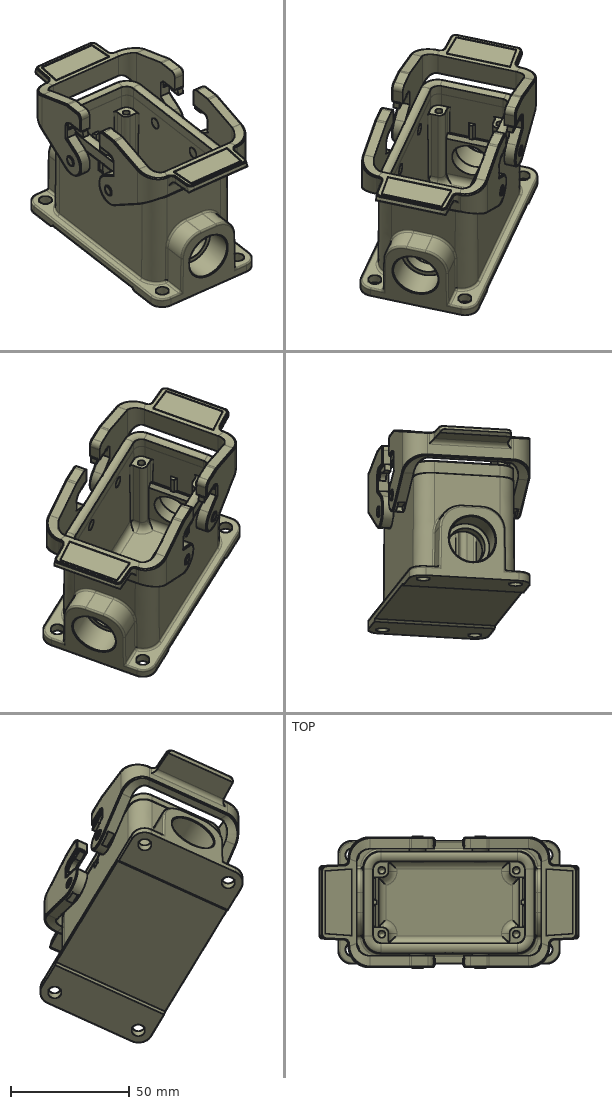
import cadquery as cq
import math

base_length = 94.0
base_width = 52.2
base_height = 4.2
base_corner_radius = 6.0
base_edge_fillet = 0.7
relief_half_length = 28.0
relief_height = 1.0

mount_hole_diameter = 5.6
mount_spacing_x = 82.0
mount_spacing_y = 40.0

wall_length = 72.8
wall_width = 43.4
wall_top = 48.3
wall_draft = 0.3
wall_corner_radius = 7.5
wall_foot_fillet = 1.0
rim_inset = 0.2
rim_corner_radius = 7.3
rim_shoulder = 53.4
rim_top = 54.1

cavity_length = 64.4
cavity_width = 34.6
cavity_corner_radius = 3.6
cavity_floor = 4.0
cavity_draft = 0.25
cavity_draft_top = 49.0
floor_fillet = 3.0

post_spacing_x = 57.0
post_spacing_y = 27.0
post_top = 42.5
post_reach = 2.85
post_corner_radius = 2.5
post_foot_fillet = 3.5
post_web_fillet = 1.2
screw_hole_diameter = 3.0
screw_hole_depth = 10.0
screw_point_angle = 90.0

pad_top = 28.2
pad_face = 29.7
pad_slope = 1.6
guide_top = 36.0
guide_width = 3.0
guide_depth = 1.5

entry_axis_height = 17.1
entry_bore_diameter = 20.0
entry_bore_depth = 12.0
entry_bore_chamfer = 0.35
entry_chamfer_angle = 45.0
entry_hole_diameter = 16.0
entry_top = 31.8
entry_half_width = 14.2
entry_foot_half_width = 14.5
entry_arc_radius = 10.0
entry_fillet = 0.8

groove_width = 3.1
groove_bottom = 43.5
groove_depth = 0.8

pivot_x = 13.3
pivot_z = 44.0
pin_diameter = 4.8
pin_end_chamfer = 0.4
pin_end = 28.03
washer_diameter = 7.0
lever_outer_y = 27.6
lever_inner_y = 22.6
lever_back = 42.65
lever_back_thickness = 3.65
lever_outer_radius = 9.0
lever_inner_radius = lever_outer_radius - lever_back_thickness
lever_edge_chamfer = 0.5
lever_eye_radius = 7.0
lever_top = 71.8
back_top = 64.25
back_bottom = 54.0
crest_start = 16.43
crest_fillet = 3.0
nose_x = 6.5
nose_radius = 2.5
nose_bottom = 62.95
mouth_x = 16.45
mouth_bottom = 54.0
mouth_radius = 3.0

hook_inner_y = 23.9
hook_outer_y = 26.55
hook_bottom = 60.2
hook_root_x = 6.1
hook_tip_x = 5.8
hook_heel_x = 10.2
hook_lip_x = 11.6
hook_lip_z = 61.0
hook_curve_middle = (-14.8, 60.6)
hook_back_x = 15.9
hook_back_z = 58.5
hook_embed = 1.0

pocket_inner_y = 22.9
pocket_outer_y = 26.0
pocket_height = 2.4
pocket_depth = 1.2

tab_tip = 55.0
tab_plan_end = 56.0
tab_top_tip = 54.0
tab_bottom_tip = 53.8
tab_tip_height = 62.5
tab_bottom = 61.1
tab_tip_half_width = 15.4
tab_half_width = 15.9
tab_flare_radius = 1.9
tab_corner_radius = 2.0
tab_root_fillet = 2.0
tab_edge_chamfer = 0.4
panel_outer_x = 52.4
panel_inner_x = 41.3
panel_outer_half_width = 13.3
panel_inner_half_width = 14.1
panel_depth = 0.3

margin = 1.0
edge_pick = 0.1

all_signs = [(sx, sy) for sx in (-1, 1) for sy in (-1, 1)]
both_ends = (-1, 1)


def block(x0, x1, y0, y1, z0, z1):
    """Axis-aligned box between the given limits."""
    return cq.Workplane("XY").box(x1 - x0, y1 - y0, z1 - z0, centered=False).translate((x0, y0, z0))


def rounded_block(length, width, radius, z0, z1, draft=0.0):
    """Centred rounded rectangle extruded from z0 to z1, drafted inward by draft degrees."""
    outline = cq.Sketch().rect(length, width).vertices().fillet(radius)
    return cq.Workplane("XY", origin=(0, 0, z0)).placeSketch(outline).extrude(z1 - z0, taper=draft)


def cylinder_y(diameter, x, z, y0, y1):
    """Cylinder along Y from y0 to y1."""
    return cq.Workplane("XZ", origin=(x, y0, z)).circle(diameter / 2).extrude(y0 - y1)


def slab_y(outline, y0, y1):
    """Extrude an outline on the XZ plane over the Y range y0 to y1."""
    return outline.extrude(y0 - y1).translate((0, y0, 0))


def base_plate():
    plate = rounded_block(base_length, base_width, base_corner_radius, 0, base_height)
    return plate.faces(">Z").edges().fillet(base_edge_fillet)


def base_relief():
    relief = (
        cq.Workplane("XZ")
        .moveTo(-relief_half_length - relief_height, 0)
        .lineTo(-relief_half_length, relief_height)
        .lineTo(relief_half_length, relief_height)
        .lineTo(relief_half_length + relief_height, 0)
        .close()
    )
    return slab_y(relief, -base_width, base_width)


def outer_wall():
    growth = 2 * wall_top * math.tan(math.radians(wall_draft))
    return rounded_block(
        wall_length + growth, wall_width + growth, wall_corner_radius + growth / 2, 0, wall_top, wall_draft
    )


def rim():
    """Upright rim whose top is a shallow crown running around the opening."""
    length = wall_length - 2 * rim_inset
    width = wall_width - 2 * rim_inset
    body = rounded_block(length, width, rim_corner_radius, wall_top, rim_shoulder)
    thickness = (width - cavity_width) / 2
    path_radius = rim_corner_radius - thickness / 2
    path = rounded_path(length - thickness, width - thickness, path_radius)
    middle_y = -(width - thickness) / 2
    crown = (
        cq.Workplane("YZ")
        .moveTo(middle_y - thickness / 2, rim_shoulder)
        .threePointArc((middle_y, rim_top), (middle_y + thickness / 2, rim_shoulder))
        .close()
        .sweep(path)
    )
    return body.union(crown)


def rounded_path(length, width, radius):
    """Closed rounded rectangle at the rim shoulder, starting at the middle of the -Y side."""
    x = length / 2
    y = width / 2
    return (
        cq.Workplane("XY", origin=(0, 0, rim_shoulder))
        .moveTo(0, -y)
        .lineTo(x - radius, -y)
        .radiusArc((x, -y + radius), -radius)
        .lineTo(x, y - radius)
        .radiusArc((x - radius, y), -radius)
        .lineTo(-x + radius, y)
        .radiusArc((-x, y - radius), -radius)
        .lineTo(-x, -y + radius)
        .radiusArc((-x + radius, -y), -radius)
        .close()
    )


def entry_boss(end):
    """Arched boss around the cable entry at one end (-1 or +1)."""
    flat = entry_half_width - entry_arc_radius
    spring = entry_top - entry_arc_radius
    boss = (
        cq.Workplane("YZ")
        .moveTo(-entry_foot_half_width, 0)
        .lineTo(-entry_half_width, spring)
        .radiusArc((-flat, entry_top), entry_arc_radius)
        .lineTo(flat, entry_top)
        .radiusArc((entry_half_width, spring), entry_arc_radius)
        .lineTo(entry_foot_half_width, 0)
        .close()
        .extrude(end * base_length / 2)
    )
    outer_face = boss.faces(">X" if end > 0 else "<X")
    return outer_face.edges("not <Z").fillet(entry_fillet)


def entry_cutter(end):
    """Stepped cable bore with a small chamfer at its mouth."""
    face = end * base_length / 2
    plane = cq.Workplane("YZ", origin=(face, 0, entry_axis_height))
    bore = plane.circle(entry_bore_diameter / 2).extrude(-end * entry_bore_depth)
    hole = plane.circle(entry_hole_diameter / 2).extrude(-face)
    mouth = plane.circle(entry_bore_diameter / 2 + entry_bore_chamfer).extrude(
        -end * entry_bore_chamfer, taper=entry_chamfer_angle
    )
    return bore.union(hole).union(mouth)


def cavity():
    upper = rounded_block(
        cavity_length, cavity_width, cavity_corner_radius, cavity_draft_top, rim_top
    )
    outline = cq.Sketch().rect(cavity_length, cavity_width).vertices().fillet(cavity_corner_radius)
    lower = (
        cq.Workplane("XY", origin=(0, 0, cavity_draft_top))
        .placeSketch(outline)
        .extrude(cavity_floor - cavity_draft_top, taper=cavity_draft)
    )
    lower = lower.faces("<Z").edges().fillet(floor_fillet)
    for end in both_ends:
        lower = lower.cut(end_wall_pad(end)).cut(guide_rib(end))
    for sx, sy in all_signs:
        lower = lower.cut(post(sx, sy))
    return upper.union(lower)


def end_wall_pad(end):
    """Thicker lower part of an end wall, with a sloping top."""
    outline = (
        cq.Workplane("XZ")
        .moveTo(end * wall_length / 2, cavity_floor)
        .lineTo(end * wall_length / 2, pad_top)
        .lineTo(end * (pad_face + pad_slope), pad_top)
        .lineTo(end * pad_face, pad_top - pad_slope)
        .lineTo(end * pad_face, cavity_floor + floor_fillet)
        .radiusArc((end * (pad_face - floor_fillet), cavity_floor), end * floor_fillet)
        .close()
    )
    return slab_y(outline, -wall_width / 2, wall_width / 2)


def guide_rib(end):
    """Short vertical rib of trapezoid section on an end wall, standing on the pad."""
    wall_x = cavity_length / 2
    return (
        cq.Workplane("XY", origin=(0, 0, pad_top))
        .moveTo(end * (wall_x + guide_depth), guide_width / 2)
        .lineTo(end * wall_x, guide_width / 2)
        .lineTo(end * (wall_x - guide_depth), guide_width / 4)
        .lineTo(end * (wall_x - guide_depth), -guide_width / 4)
        .lineTo(end * wall_x, -guide_width / 2)
        .lineTo(end * (wall_x + guide_depth), -guide_width / 2)
        .close()
        .extrude(guide_top - pad_top)
    )


def post(sx, sy):
    """Screw post filling one cavity corner, rounded on its free corner and flared at its foot."""
    inner_x = post_spacing_x / 2 - post_reach
    inner_y = post_spacing_y / 2 - post_reach
    body = block(inner_x, wall_length / 2, inner_y, wall_width / 2, 0, post_top)
    body = body.edges("|Z").edges("<X and <Y").fillet(post_corner_radius)
    floor = block(0, wall_length / 2, 0, wall_width / 2, 0, cavity_floor)
    foot = cq.selectors.BoxSelector(
        (inner_x - margin, inner_y - margin, cavity_floor - margin),
        (wall_length / 2 - margin, wall_width / 2 - margin, cavity_floor + margin),
    )
    body = body.union(floor).edges("not |Z").edges(foot).fillet(post_foot_fillet)
    body = body.union(post_webs(inner_x, inner_y))
    if sx < 0:
        body = body.mirror("YZ")
    if sy < 0:
        body = body.mirror("XZ")
    return body


def post_webs(inner_x, inner_y):
    """Concave fillets joining the sides of a post to the cavity walls."""
    wall_x = cavity_length / 2
    wall_y = cavity_width / 2
    return (
        cq.Workplane("XY", origin=(0, 0, cavity_floor))
        .moveTo(inner_x - post_web_fillet, wall_y)
        .radiusArc((inner_x, wall_y - post_web_fillet), post_web_fillet)
        .lineTo(wall_x - post_web_fillet, inner_y)
        .radiusArc((wall_x, inner_y - post_web_fillet), post_web_fillet)
        .lineTo(wall_x, wall_y)
        .close()
        .extrude(post_top - cavity_floor)
    )


def screw_hole(sx, sy):
    """Blind screw hole with a conical end."""
    radius = screw_hole_diameter / 2
    point = radius / math.tan(math.radians(screw_point_angle / 2))
    return (
        cq.Workplane("XZ")
        .lineTo(radius, 0)
        .lineTo(radius, -screw_hole_depth)
        .lineTo(0, -screw_hole_depth - point)
        .close()
        .revolve(360, (0, 0, 0), (0, 1, 0))
        .translate((sx * post_spacing_x / 2, sy * post_spacing_y / 2, post_top))
    )


def wall_groove(sy):
    y_floor = wall_width / 2 - groove_depth
    groove = block(
        -groove_width / 2, groove_width / 2, y_floor, wall_width, groove_bottom, wall_top
    )
    return groove if sy > 0 else groove.mirror("XZ")


def housing_envelope():
    """Housing outside shape, before any opening is cut."""
    body = base_plate()
    for end in both_ends:
        body = body.union(entry_boss(end))
    body = body.union(outer_wall())
    foot = cq.selectors.BoxSelector(
        (-base_length, -base_width / 2 + margin, base_height - edge_pick),
        (base_length, base_width / 2 - margin, base_height + edge_pick),
    )
    body = body.edges(foot).fillet(wall_foot_fillet)
    for end in both_ends:
        near_x, far_x = sorted((end * (wall_length / 2 - margin), end * (wall_length / 2 + margin)))
        seam = cq.selectors.BoxSelector(
            (near_x, -entry_half_width - margin, base_height + 2 * wall_foot_fillet),
            (far_x, entry_half_width + margin, entry_top + margin),
        )
        body = body.edges(seam).fillet(entry_fillet)
    return body.union(rim())


def make_housing(envelope):
    body = envelope.cut(base_relief()).cut(cavity())
    for end in both_ends:
        body = body.cut(entry_cutter(end))
    for sx, sy in all_signs:
        mount = (
            cq.Workplane("XY")
            .center(sx * mount_spacing_x / 2, sy * mount_spacing_y / 2)
            .circle(mount_hole_diameter / 2)
            .extrude(base_height)
        )
        pin_hole = cylinder_y(pin_diameter, sx * pivot_x, pivot_z, 0, sy * wall_width)
        body = body.cut(mount).cut(screw_hole(sx, sy)).cut(pin_hole)
    for sy in both_ends:
        body = body.cut(wall_groove(sy))
    return body


def tangent_point(x, z, turn):
    """Point where the line from (x, z) touches the lever eye; turn picks one of the two."""
    dx = x + pivot_x
    dz = z - pivot_z
    angle = math.atan2(dz, dx) + turn * math.acos(lever_eye_radius / math.hypot(dx, dz))
    return (
        -pivot_x + lever_eye_radius * math.cos(angle),
        pivot_z + lever_eye_radius * math.sin(angle),
    )


crest_slope = (lever_top - back_top) / (lever_back - crest_start)
belly_touch = tangent_point(-lever_back, back_bottom, 1)
belly_slope = (belly_touch[1] - back_bottom) / (belly_touch[0] + lever_back)
bend_x = -lever_back + lever_outer_radius
bend_outer_y = lever_outer_y - lever_outer_radius
bend_inner_y = lever_inner_y - lever_inner_radius
bend_steps = 8


def crest_height(x):
    """Height of the sloping crest of an arm at x."""
    return back_top + crest_slope * (x + lever_back)


def belly_height(x):
    """Height of the sloping underside of an arm at x."""
    return back_bottom + belly_slope * (x + lever_back)


def lever_arm():
    """Flat +Y arm: crest, nose, mouth, eye and sloping underside."""
    neck = tangent_point(-mouth_x, mouth_bottom, -1)
    crest_angle = math.atan(crest_slope)
    crest_tangent = crest_fillet * math.tan(crest_angle / 2)
    crest_run = crest_tangent * math.cos(crest_angle)
    outline = (
        cq.Workplane("XZ")
        .moveTo(bend_x, crest_height(bend_x))
        .lineTo(-crest_start - crest_run, crest_height(-crest_start - crest_run))
        .radiusArc((-crest_start + crest_tangent, lever_top), crest_fillet)
        .lineTo(-nose_x - nose_radius, lever_top)
        .radiusArc((-nose_x, lever_top - nose_radius), nose_radius)
        .lineTo(-nose_x, nose_bottom)
        .lineTo(-mouth_x + mouth_radius, nose_bottom)
        .radiusArc((-mouth_x, nose_bottom - mouth_radius), -mouth_radius)
        .lineTo(-mouth_x, mouth_bottom)
        .lineTo(*neck)
        .threePointArc((-pivot_x + lever_eye_radius, pivot_z), (-pivot_x, pivot_z - lever_eye_radius))
        .radiusArc(belly_touch, lever_eye_radius)
        .lineTo(bend_x, belly_height(bend_x))
        .close()
    )
    arm = slab_y(outline, lever_inner_y, lever_outer_y)
    return arm.faces(">Y").edges("not <X").chamfer(lever_edge_chamfer)


def bend_rail(share_back, share_arm, z_back, z_arm):
    """Curve around the bend, from the back (angle 0) to the arm (a quarter turn).

    The shares place it between the outer face (0) and the inner face (1); it climbs from
    z_back to z_arm in step with X.
    """
    points = []
    for step in range(bend_steps + 1):
        angle = math.pi / 2 * step / bend_steps
        rise = 1 - math.cos(angle)
        share = share_back + rise * (share_arm - share_back)
        radius = lever_outer_radius + share * (lever_inner_radius - lever_outer_radius)
        center_y = bend_outer_y + share * (bend_inner_y - bend_outer_y)
        x = bend_x - radius * math.cos(angle)
        y = center_y + radius * math.sin(angle)
        points.append(cq.Vector(x, y, z_back + rise * (z_arm - z_back)))
    return cq.Edge.makeSpline(points)


def lever_bend():
    """Bend joining the level back to the +Y arm; its top and bottom twist to meet the slopes."""
    crest = crest_height(bend_x)
    belly = belly_height(bend_x)
    crest_drop = lever_edge_chamfer * math.hypot(1, crest_slope)
    belly_rise = lever_edge_chamfer * math.hypot(1, belly_slope)
    edge_back = lever_edge_chamfer / lever_back_thickness
    edge_arm = lever_edge_chamfer / (lever_outer_y - lever_inner_y)
    rails = [
        bend_rail(0, 0, back_bottom + lever_edge_chamfer, belly + belly_rise),
        bend_rail(0, 0, back_top - lever_edge_chamfer, crest - crest_drop),
        bend_rail(edge_back, edge_arm, back_top, crest),
        bend_rail(1, 1, back_top, crest),
        bend_rail(1, 1, back_bottom, belly),
        bend_rail(edge_back, edge_arm, back_bottom, belly),
    ]
    next_rails = rails[1:] + rails[:1]
    faces = [cq.Face.makeRuledSurface(rail, other) for rail, other in zip(rails, next_rails)]
    for end in (0, 1):
        corners = [rail.positionAt(end) for rail in rails]
        faces.append(cq.Face.makeFromWires(cq.Wire.makePolygon(corners, close=True)))
    return cq.Workplane(cq.Solid.makeSolid(cq.Shell.makeShell(faces)))


def lever_back_wall():
    """Level wall across the back, running between the two bends."""
    plan = (
        cq.Workplane("XY", origin=(0, 0, back_bottom))
        .moveTo(-lever_back, -bend_outer_y)
        .lineTo(-lever_back, bend_outer_y)
        .lineTo(-lever_back + lever_back_thickness, bend_inner_y)
        .lineTo(-lever_back + lever_back_thickness, -bend_inner_y)
        .close()
        .extrude(back_top - back_bottom)
    )
    return plan.faces("<X").edges("|Y").chamfer(lever_edge_chamfer)


def lever_bow():
    """U-shaped bow around the end of the housing."""
    half = lever_arm().union(lever_bend())
    return lever_back_wall().union(half).union(half.mirror("XZ"))


def handle_tab():
    root = -lever_back
    plan = (
        cq.Workplane("XY")
        .moveTo(-tab_plan_end, tab_tip_half_width)
        .lineTo(root - tab_flare_radius, tab_half_width)
        .radiusArc((root, tab_half_width + tab_flare_radius), -tab_flare_radius)
        .lineTo(root + lever_back_thickness / 2, tab_half_width + tab_flare_radius)
        .lineTo(root + lever_back_thickness / 2, -tab_half_width - tab_flare_radius)
        .lineTo(root, -tab_half_width - tab_flare_radius)
        .radiusArc((root - tab_flare_radius, -tab_half_width), -tab_flare_radius)
        .lineTo(-tab_plan_end, -tab_tip_half_width)
        .close()
        .extrude(lever_top)
    )
    lean = (tab_tip - tab_top_tip) / (back_top - tab_tip_height)
    side = (
        cq.Workplane("XZ")
        .moveTo(root + lever_back_thickness / 2, back_top)
        .lineTo(-tab_top_tip, back_top)
        .lineTo(-tab_top_tip - lean * (back_top - tab_bottom), tab_bottom)
        .lineTo(root - tab_root_fillet, tab_bottom)
        .radiusArc((root, tab_bottom - tab_root_fillet), tab_root_fillet)
        .lineTo(root + lever_back_thickness / 2, tab_bottom - tab_root_fillet)
        .close()
    )
    tab = plan.intersect(slab_y(side, -lever_outer_y, lever_outer_y))
    tab = tab.faces("<X").edges("not |Y").fillet(tab_corner_radius)
    undercut = (
        cq.Workplane("XZ")
        .moveTo(-tab_tip, tab_tip_height)
        .lineTo(-tab_bottom_tip, tab_bottom)
        .lineTo(-tab_tip - margin, tab_bottom)
        .lineTo(-tab_tip - margin, tab_tip_height)
        .close()
    )
    tab = tab.cut(slab_y(undercut, -lever_outer_y, lever_outer_y))
    return tab.faces(">Z").edges("not >X").chamfer(tab_edge_chamfer)


def tab_panel():
    """Shallow recess on the tab top."""
    return (
        cq.Workplane("XY", origin=(0, 0, back_top - panel_depth))
        .moveTo(-panel_outer_x, panel_outer_half_width)
        .lineTo(-panel_inner_x, panel_inner_half_width)
        .lineTo(-panel_inner_x, -panel_inner_half_width)
        .lineTo(-panel_outer_x, -panel_outer_half_width)
        .close()
        .extrude(lever_top - back_top)
    )


def hook_insert():
    """Narrow catch under the nose of the +Y arm."""
    outline = (
        cq.Workplane("XZ")
        .moveTo(-hook_root_x - hook_embed, nose_bottom + hook_embed)
        .lineTo(-hook_root_x - hook_embed, nose_bottom + lever_edge_chamfer)
        .lineTo(-hook_root_x, nose_bottom)
        .lineTo(-hook_tip_x, hook_bottom)
        .lineTo(-hook_heel_x, hook_bottom)
        .lineTo(-hook_lip_x, hook_lip_z)
        .threePointArc(hook_curve_middle, (-hook_back_x, hook_back_z))
        .lineTo(-mouth_x - hook_embed, hook_back_z)
        .lineTo(-mouth_x - hook_embed, nose_bottom + hook_embed)
        .close()
    )
    return slab_y(outline, hook_inner_y, hook_outer_y)


def arm_pocket():
    """Wedge-shaped pocket in the underside of the +Y arm, below the eye."""
    low = pivot_z - lever_eye_radius
    outline = (
        cq.Workplane("XZ")
        .moveTo(-pivot_x, low)
        .lineTo(-pivot_x + pocket_depth, low + pocket_height)
        .lineTo(-pivot_x - lever_eye_radius, low + pocket_height)
        .lineTo(-pivot_x - lever_eye_radius, low)
        .close()
    )
    return slab_y(outline, pocket_inner_y, pocket_outer_y)


def pivot_pin(envelope):
    """Pin of the +Y arm with its spacer collar, which rests on the housing wall."""
    collar = cylinder_y(washer_diameter, -pivot_x, pivot_z, wall_width / 2 - margin, lever_inner_y)
    pin = cylinder_y(pin_diameter, -pivot_x, pivot_z, cavity_width / 2, pin_end)
    return collar.cut(envelope).union(pin.faces(">Y").chamfer(pin_end_chamfer))


def make_lever(envelope):
    """Lever at the -X end."""
    lever = lever_bow().union(handle_tab()).cut(tab_panel())
    pocket = arm_pocket()
    hook = hook_insert()
    pin = pivot_pin(envelope)
    lever = lever.cut(pocket).cut(pocket.mirror("XZ"))
    for detail in (hook, pin):
        lever = lever.union(detail).union(detail.mirror("XZ"))
    return lever


envelope = housing_envelope()
housing = make_housing(envelope)
lever = make_lever(envelope)
levers = [lever, lever.mirror("YZ")]

result = cq.Compound.makeCompound([housing.val(), *[item.val() for item in levers]])